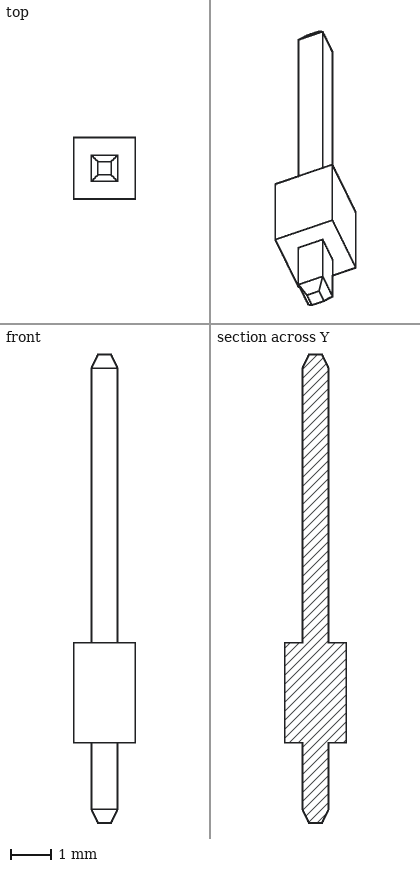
import cadquery as cq

total_length = 11.68
block_width = 1.54
block_height = 2.5
tail_length = 2.0
pin_width = 0.65
tip_length = 0.34
tip_width = pin_width / 2


def make_tip(base_z, end_z):
    """Square frustum narrowing from the pin section at base_z to the flat end at end_z."""
    return (
        cq.Workplane("XY", origin=(0, 0, base_z))
        .rect(pin_width, pin_width)
        .workplane(offset=end_z - base_z)
        .rect(tip_width, tip_width)
        .loft(combine=True, ruled=True)
    )


def make_square_bar(width, bottom_z, height):
    """Upright square bar centred on the Z axis."""
    return cq.Workplane("XY", origin=(0, 0, bottom_z)).rect(width, width).extrude(height)


shank = make_square_bar(pin_width, tip_length, total_length - 2 * tip_length)
block = make_square_bar(block_width, tail_length, block_height)
lower_tip = make_tip(tip_length, 0)
upper_tip = make_tip(total_length - tip_length, total_length)

result = shank.union(block).union(lower_tip).union(upper_tip)